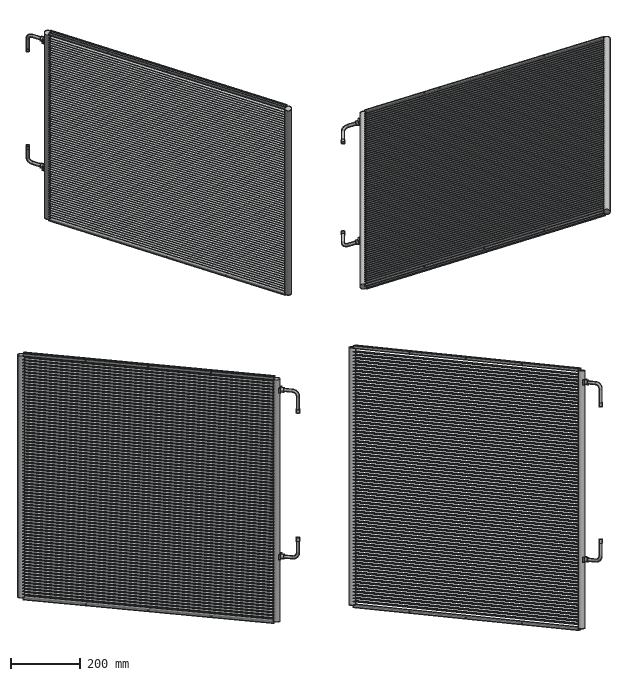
import cadquery as cq
import math


overall_length = 839.0
overall_height = 769.0
right_end = overall_length / 2
left_end = -overall_length / 2

header_diameter = 20.0
header_height = 757.0
header_spacing = 760.0
right_header_x = right_end - header_diameter / 2
left_header_x = right_header_x - header_spacing
core_centre_x = (left_header_x + right_header_x) / 2

tube_count = 79
tube_stack_span = 733.0
tube_pitch = tube_stack_span / (tube_count - 1)
tube_thickness = 1.3
core_depth = 16.0

channel_length = 747.0
channel_height = 8.0
channel_sheet = 1.0
channel_lip_gap = 7.0
channel_bend_radius = 1.6
channel_hole_diameter = 3.2
channel_hole_count = 3
channel_hole_spacing = channel_length / (channel_hole_count + 1)

pipe_diameter = 9.0
pipe_bore = 8.0
collar_diameter = 11.0
collar_length = 11.0
bend_radius = 16.0
fitting_diameter = 14.0
fitting_length = 8.0
plate_thickness = 5.0
plate_width = 19.0
plate_height = 15.0
plate_embed = 2.0
pipe_x = left_end + collar_diameter / 2
plate_inner_x = left_header_x - header_diameter / 2 + plate_embed
plate_outer_x = plate_inner_x - plate_thickness
fitting_outer_x = plate_outer_x - fitting_length

upper_pipe_z = 346.0
upper_pipe_end_z = 278.5
lower_pipe_z = -175.0
lower_pipe_end_z = -112.0


def right_header():
    """Solid round header at the +X end."""
    return (
        cq.Workplane("XY", origin=(right_header_x, 0, -header_height / 2))
        .circle(header_diameter / 2)
        .extrude(header_height)
    )


def tube_stack():
    """Flat tubes from header axis to header axis, spread evenly about mid-height."""
    levels = [(i - (tube_count - 1) / 2) * tube_pitch for i in range(tube_count)]
    return (
        cq.Workplane("XZ")
        .pushPoints([(core_centre_x, z) for z in levels])
        .box(header_spacing, tube_thickness, core_depth)
    )


def top_channel():
    """Bent sheet channel: web below, a wall on each side and lips turned inward at the top."""
    top_z = overall_height / 2
    middle_z = top_z - channel_height / 2
    start_x = core_centre_x - channel_length / 2

    def rounded_bar(inset):
        """Bar along the channel, inset from its outside by the given depth all round."""
        return (
            cq.Workplane("YZ", origin=(start_x, 0, middle_z))
            .rect(core_depth - 2 * inset, channel_height - 2 * inset)
            .extrude(channel_length)
            .edges("|X")
            .fillet(channel_bend_radius - inset)
        )

    mouth = (
        cq.Workplane("YZ", origin=(start_x, 0, top_z))
        .rect(channel_lip_gap, channel_height)
        .extrude(channel_length)
    )
    first_hole = -(channel_hole_count - 1) / 2
    hole_xs = [core_centre_x + (first_hole + i) * channel_hole_spacing for i in range(channel_hole_count)]
    holes = (
        cq.Workplane("XZ")
        .pushPoints([(x, middle_z) for x in hole_xs])
        .circle(channel_hole_diameter / 2)
        .extrude(core_depth, both=True)
    )
    return rounded_bar(0).cut(rounded_bar(channel_sheet)).cut(mouth).cut(holes)


def pipe_run(diameter, axis_z, end_z):
    """Round bar along the pipe: from the fitting toward -X, round the bend, then along Z to end_z."""
    turn = math.copysign(1, end_z - axis_z)
    bend_x = pipe_x + bend_radius
    bend_z = axis_z + turn * bend_radius
    diagonal = bend_radius * math.sqrt(0.5)
    path = (
        cq.Workplane("XZ")
        .moveTo(fitting_outer_x, axis_z)
        .lineTo(bend_x, axis_z)
        .threePointArc((bend_x - diagonal, bend_z - turn * diagonal), (pipe_x, bend_z))
        .lineTo(pipe_x, end_z)
    )
    return cq.Workplane("YZ", origin=(fitting_outer_x, 0, axis_z)).circle(diameter / 2).sweep(path)


def pipe_connection(axis_z, end_z):
    """Mounting plate, round fitting and bent pipe with an open collared end."""
    plate = cq.Workplane("XY", origin=(plate_outer_x + plate_thickness / 2, 0, axis_z)).box(
        plate_thickness, plate_width, plate_height
    )
    fitting = (
        cq.Workplane("YZ", origin=(fitting_outer_x, 0, axis_z))
        .circle(fitting_diameter / 2)
        .extrude(fitting_length)
    )
    collar = (
        cq.Workplane("XY", origin=(pipe_x, 0, end_z))
        .circle(collar_diameter / 2)
        .extrude(math.copysign(collar_length, axis_z - end_z))
    )
    pipe = pipe_run(pipe_diameter, axis_z, end_z).union(collar)
    return pipe.cut(pipe_run(pipe_bore, axis_z, end_z)).union(fitting).union(plate)


header = right_header()
channel = top_channel()
result = (
    header.union(header.mirror("YZ", (core_centre_x, 0, 0)))
    .union(tube_stack())
    .union(channel)
    .union(channel.mirror("XY"))
    .union(pipe_connection(upper_pipe_z, upper_pipe_end_z))
    .union(pipe_connection(lower_pipe_z, lower_pipe_end_z))
)